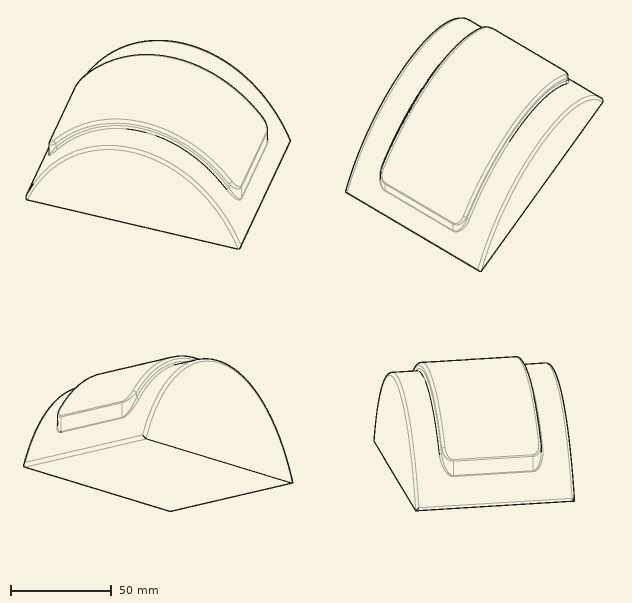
import cadquery as cq

half_width = 56.5
body_height = 51.8
body_length = 80.0
shoulder_half_width = 32.8
body_edge_radius = 1.5

pad_thickness = 4.0
pad_length_x = 100.0
pad_length_y = 50.0
pad_corner_radius = 5.0
pad_edge_radius = 1.5
pad_root_radius = 1.0

cover_half_width = 60.8
cover_shoulder_half_width = 35.8
cover_height = body_height + pad_thickness

PEAK_TO_POLE_HEIGHT = 0.75


def make_arch(base_half_width, pole_half_width, height):
    """Solid arch resting on Z = 0, running along Y over the body length."""
    pole_height = height / PEAK_TO_POLE_HEIGHT
    poles = [
        (-base_half_width, 0),
        (-pole_half_width, pole_height),
        (pole_half_width, pole_height),
        (base_half_width, 0),
    ]
    profile = cq.Workplane("XZ").bezier(poles).close()
    return profile.extrude(body_length).translate((0, body_length / 2, 0))


def make_plain_body():
    """Body arch before its edges are rounded."""
    return make_arch(half_width, shoulder_half_width, body_height)


def make_body():
    """Arch with rounded end outlines and rounded long base edges; the ends meet the base sharply."""
    body = make_plain_body()
    end_arches = body.faces("<Y or >Y").edges("not |X")
    base_sides = body.faces("<Z").edges("|Y")
    return body.newObject(end_arches.vals() + base_sides.vals()).fillet(body_edge_radius)


def make_pad():
    """Rounded rectangular block whose top follows the larger cover arch."""
    cover = make_arch(cover_half_width, cover_shoulder_half_width, cover_height)
    block = (
        cq.Workplane("XY")
        .rect(pad_length_x, pad_length_y)
        .extrude(2 * cover_height)
        .edges("|Z")
        .fillet(pad_corner_radius)
    )
    pad = block.intersect(cover)
    top_rim = pad.faces(">Z").edges()
    return pad.newObject(top_rim.vals()).fillet(pad_edge_radius)


def root_edges(part):
    """Edges where the pad walls meet the arch."""
    arch = make_plain_body()
    arch_skin = arch.faces("not(<Y or >Y or <Z)").val()
    tolerance = 0.001
    inner_half_length = body_length / 2 - 2 * body_edge_radius
    found = []
    for edge in part.edges().vals():
        points = edge.positions([0.2, 0.5, 0.8])
        on_arch = all(arch_skin.distance(cq.Vertex.makeVertex(*p.toTuple())) < tolerance for p in points)
        if on_arch and all(abs(p.y) < inner_half_length for p in points):
            found.append(edge)
    return found


joined = make_body().union(make_pad())
result = joined.newObject(root_edges(joined)).fillet(pad_root_radius)